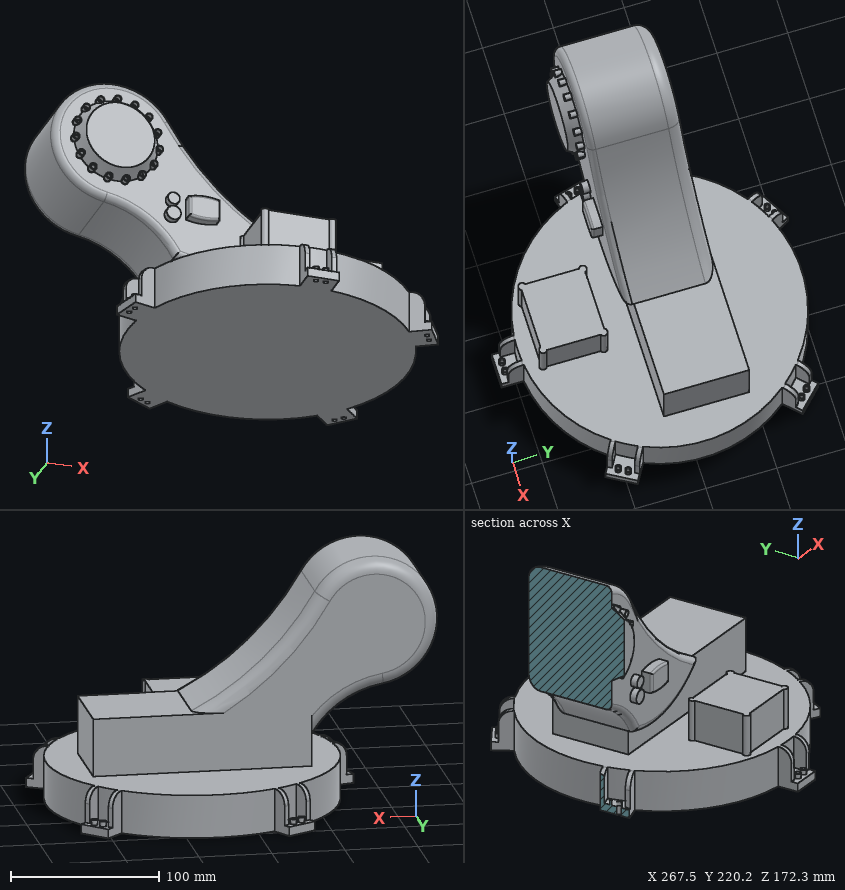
import cadquery as cq
import math

overall_length = 267.5

base_radius = 100.0
base_height = 30.0

foot_count = 5
foot_first_angle = -30.0
foot_step_angle = 75.0
foot_width = 22.5
foot_reach = 115.0
foot_root = 80.2
foot_turn = math.radians(foot_first_angle)
foot_corner_x = foot_reach * math.cos(foot_turn) - foot_width / 2 * math.sin(foot_turn)
foot_thickness = 6.5
rib_thickness = 3.5
rib_reach = 110.0
rib_round = 10.0
bolt_radius = 2.1
bolt_height = 3.5
bolt_hole_radius = 1.5
bolt_spacing = 7.0
bolt_reach = 110.2

block_length = 149.8
block_height = 40.0
block_back = 40.0
block_front = -20.0
block_top = base_height + block_height

cabinet_length = 50.0
cabinet_width = 45.0
cabinet_height = 30.0
cabinet_x = -8.0
cabinet_y = -65.8
post_radius = 2.7
post_inset = 1.0

head_radius = 45.0
head_x = foot_corner_x - overall_length + head_radius
head_z = 127.3
arm_back = block_back
arm_front = -26.2
arm_back_round = 10.0
arm_front_round = 5.0
upper_blend_angle = 30.0
lower_blend_angle = 261.0
tip_x = 6.2
heel_z = 47.5
belly_radius = 78.0

hub_base_radius = 30.0
hub_tip_radius = 24.3
hub_height = 10.0
pin_count = 15
pin_radius = 2.5
pin_hole_radius = 2.0
pin_height = 5.0

button_x = -77.5
upper_button_z = 88.5
upper_button_radius = 4.3
lower_button_z = 77.5
lower_button_radius = 5.0
button_height = 5.0
display_x = -56.5
display_z = 83.7
display_width = 22.0
display_side_height = 15.0
display_mid_height = 18.0
display_height = 7.8
display_round = 1.5


def front_plane(y):
    """Plane facing -Y whose local axes are the global X and Z."""
    return cq.Workplane("XZ", origin=(0, y, 0))


def make_foot():
    """One foot pointing along +X: plate, two ribs and two hollow bolts."""
    plate = cq.Workplane("XY").box(
        foot_reach - foot_root, foot_width, foot_thickness, centered=(False, True, False)
    ).translate((foot_root, 0, 0))
    foot = plate
    for side in (-1, 1):
        rib_y = side * (foot_width - rib_thickness) / 2
        rib = (
            cq.Workplane("XY")
            .box(rib_reach - foot_root, rib_thickness, base_height, centered=(False, True, False))
            .edges(">X and >Z")
            .fillet(rib_round)
            .translate((foot_root, rib_y, 0))
        )
        foot = foot.union(rib)
    bolt_points = [(bolt_reach, side * bolt_spacing / 2) for side in (-1, 1)]
    bolt_top = foot_thickness + bolt_height
    bolts = cq.Workplane("XY").pushPoints(bolt_points).circle(bolt_radius).extrude(bolt_top)
    holes = cq.Workplane("XY").pushPoints(bolt_points).circle(bolt_hole_radius).extrude(bolt_top)
    return foot.union(bolts).cut(holes)


def make_base():
    base = cq.Workplane("XY").circle(base_radius).extrude(base_height)
    foot = make_foot()
    for index in range(foot_count):
        angle = foot_first_angle + index * foot_step_angle
        base = base.union(foot.rotate((0, 0, 0), (0, 0, 1), angle))
    return base


def make_block():
    width = block_back - block_front
    return cq.Workplane("XY", origin=(0, (block_back + block_front) / 2, base_height)).box(
        block_length, width, block_height, centered=(True, True, False)
    )


def make_cabinet():
    plane = cq.Workplane("XY", origin=(cabinet_x, cabinet_y, base_height))
    body = plane.rect(cabinet_length, cabinet_width).extrude(cabinet_height)
    posts = (
        plane.rect(cabinet_length - 2 * post_inset, cabinet_width - 2 * post_inset, forConstruction=True)
        .vertices()
        .circle(post_radius)
        .extrude(cabinet_height)
    )
    return body.union(posts)


def head_point(angle):
    """Point on the rim of the arm's head, as (x, z)."""
    turn = math.radians(angle)
    return (head_x + head_radius * math.cos(turn), head_z + head_radius * math.sin(turn))


def blend_middle(angle, end):
    """Middle of the concave arc that leaves the head tangentially and stops at end."""
    turn = math.radians(angle)
    dx = end[0] - head_x
    dz = end[1] - head_z
    along = dx * math.cos(turn) + dz * math.sin(turn)
    radius = (dx**2 + dz**2 - 2 * head_radius * along + head_radius**2) / (2 * (along - head_radius))
    centre_x = head_x + (head_radius + radius) * math.cos(turn)
    centre_z = head_z + (head_radius + radius) * math.sin(turn)
    start = head_point(angle)
    to_middle_x = (start[0] + end[0]) / 2 - centre_x
    to_middle_z = (start[1] + end[1]) / 2 - centre_z
    stretch = radius / math.hypot(to_middle_x, to_middle_z)
    return (centre_x + stretch * to_middle_x, centre_z + stretch * to_middle_z)


def make_arm():
    tip = (tip_x, block_top)
    heel = (-block_length / 2, heel_z)
    head_far_angle = (upper_blend_angle + lower_blend_angle) / 2
    return (
        front_plane(arm_back)
        .moveTo(*head_point(lower_blend_angle))
        .threePointArc(head_point(head_far_angle), head_point(upper_blend_angle))
        .threePointArc(blend_middle(upper_blend_angle, tip), tip)
        .radiusArc(heel, belly_radius)
        .threePointArc(blend_middle(lower_blend_angle, heel), head_point(lower_blend_angle))
        .close()
        .extrude(arm_back - arm_front)
        .faces(">Y")
        .edges()
        .fillet(arm_back_round)
        .faces("<Y")
        .edges()
        .fillet(arm_front_round)
    )


def make_hub():
    taper = math.degrees(math.atan((hub_base_radius - hub_tip_radius) / hub_height))
    plane = front_plane(arm_front).center(head_x, head_z)
    hub = plane.circle(hub_base_radius).extrude(hub_height, taper=taper)
    pins = (
        plane.polarArray(hub_base_radius, 90, 360, pin_count)
        .circle(pin_radius)
        .circle(pin_hole_radius)
        .extrude(pin_height)
    )
    return hub.union(pins)


def make_buttons():
    upper = front_plane(arm_front).center(button_x, upper_button_z).circle(upper_button_radius)
    lower = front_plane(arm_front).center(button_x, lower_button_z).circle(lower_button_radius)
    return upper.extrude(button_height).union(lower.extrude(button_height))


def make_display():
    """Raised display with bowed top and bottom edges and a rounded rim."""
    half_width = display_width / 2
    half_side = display_side_height / 2
    half_mid = display_mid_height / 2
    return (
        front_plane(arm_front)
        .center(display_x, display_z)
        .moveTo(-half_width, -half_side)
        .threePointArc((0, -half_mid), (half_width, -half_side))
        .lineTo(half_width, half_side)
        .threePointArc((0, half_mid), (-half_width, half_side))
        .close()
        .extrude(display_height)
        .faces("<Y")
        .edges()
        .fillet(display_round)
    )


result = (
    make_base()
    .union(make_block())
    .union(make_cabinet())
    .union(make_arm())
    .union(make_hub())
    .union(make_buttons())
    .union(make_display())
)